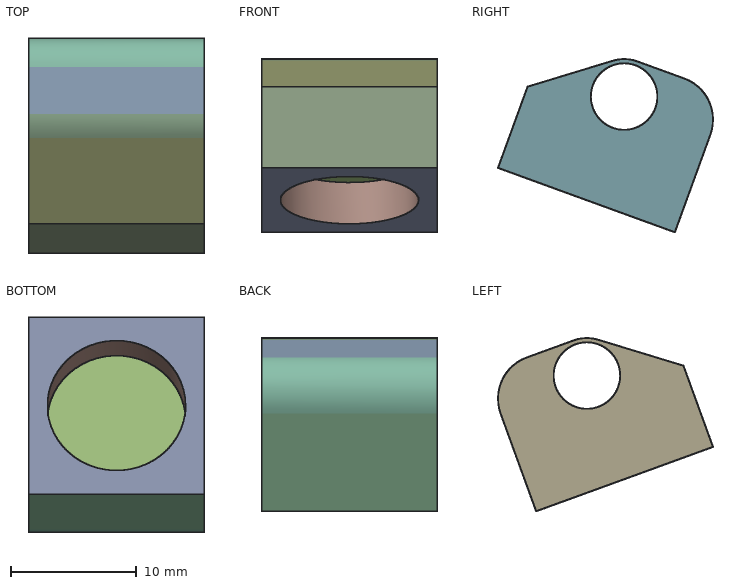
import cadquery as cq
import math

width = 14.0
base_length = 14.99
low_side_height = 6.89
tilt_angle = 20

hole_radius = 2.64
crest_radius = 3.0
hole_along = base_length / 2
hole_height = 8.77
top_height = hole_height + crest_radius

corner_radius = 3.5

pocket_diameter = 11.0
pocket_depth = 3.5


def crest_point(angle):
    """Point on the crest arc at an angle measured from the base direction."""
    return (
        hole_along + crest_radius * math.cos(angle),
        hole_height + crest_radius * math.sin(angle),
    )


corner_offset = base_length - hole_along
corner_drop = low_side_height - hole_height
corner_distance = math.hypot(corner_offset, corner_drop)
tangent_angle = math.atan2(corner_drop, corner_offset) + math.acos(crest_radius / corner_distance)
crest_middle_angle = (math.pi / 2 + tangent_angle) / 2

corner_middle = corner_radius * (1 - math.cos(math.pi / 4))

side_plane = cq.Plane(origin=(0, 0, 0), xDir=(0, -1, 0), normal=(-1, 0, 0))

body = (
    cq.Workplane(side_plane)
    .moveTo(0, 0)
    .lineTo(base_length, 0)
    .lineTo(base_length, low_side_height)
    .lineTo(*crest_point(tangent_angle))
    .threePointArc(crest_point(crest_middle_angle), (hole_along, top_height))
    .lineTo(corner_radius, top_height)
    .threePointArc((corner_middle, top_height - corner_middle), (0, top_height - corner_radius))
    .close()
    .extrude(width / 2, both=True)
)

cross_hole = (
    cq.Workplane(side_plane)
    .center(hole_along, hole_height)
    .circle(hole_radius)
    .extrude(width, both=True)
)

pocket = (
    cq.Workplane("XY")
    .center(0, -base_length / 2)
    .circle(pocket_diameter / 2)
    .extrude(pocket_depth)
)

result = body.cut(cross_hole).cut(pocket).rotate((0, 0, 0), (1, 0, 0), -tilt_angle)